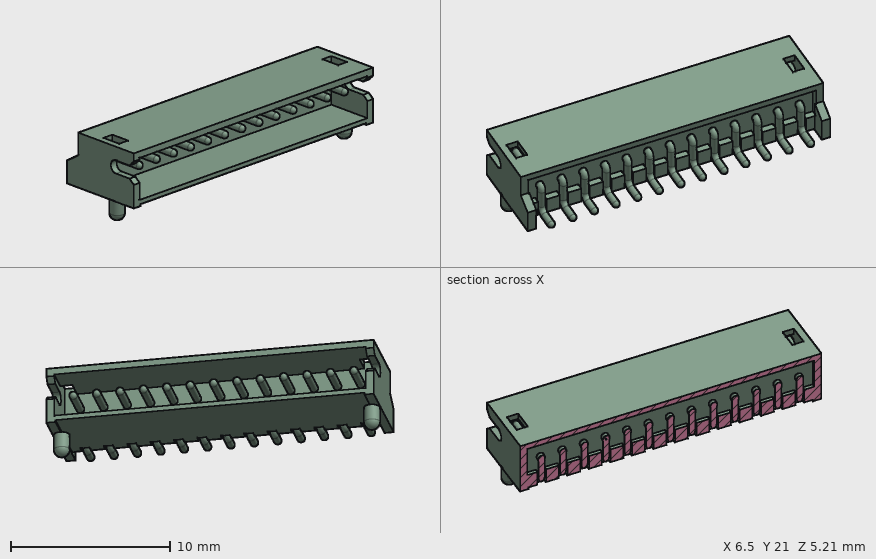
import cadquery as cq


length = 21.0
depth_end = 6.5
height = 3.72
body_front = 1.51
roof = 0.45
end_wall = 0.5

foot_front = 0.5
foot_width = 0.59
foot_nose_height = 1.55
foot_slope_top = 2.2
floor_lift = 0.13

cavity_back = 3.28
floor_top = 0.45
slot_bottom = 1.91
slot_top = 2.8
slot_back = 4.45
mouth_chamfer_run = 0.38
mouth_chamfer_top = 0.38
mouth_chamfer_bottom = 0.32

window_length = 1.4
window_width = 0.78

recess_depth = 0.46
ledge_top = 1.2
groove_width = 0.59

pin_count = 13
pin_pitch = length / (pin_count + 1)
pin_radius = 0.5 / 2
pin_end = 5.7
contact_height = 2.2
tail_height = pin_radius
leg_x = 1.65
tail_bend = 2 * pin_radius
contact_bend = pin_radius

peg_radius = 1.0 / 2
peg_x = 4.45
peg_inset = 0.55
peg_straight = 0.99

pin_positions = [(i - (pin_count - 1) / 2) * pin_pitch for i in range(pin_count)]


def box(x0, x1, y0, y1, z0, z1):
    """Box between two opposite corners."""
    return cq.Workplane("XY").box(x1 - x0, y1 - y0, z1 - z0, centered=False).translate((x0, y0, z0))


def end_profile():
    """Side outline of the housing ends, with a round-ended slot open to the mouth."""
    slot_radius = (slot_top - slot_bottom) / 2
    slot_center = slot_back + slot_radius
    slot_middle = (slot_top + slot_bottom) / 2
    chamfer_start = depth_end - mouth_chamfer_run
    return (
        cq.Workplane("XZ")
        .moveTo(foot_front, 0)
        .lineTo(depth_end, 0)
        .lineTo(depth_end, slot_bottom - mouth_chamfer_bottom)
        .lineTo(chamfer_start, slot_bottom)
        .lineTo(slot_center, slot_bottom)
        .threePointArc((slot_back, slot_middle), (slot_center, slot_top))
        .lineTo(chamfer_start, slot_top)
        .lineTo(depth_end, slot_top + mouth_chamfer_top)
        .lineTo(depth_end, height)
        .lineTo(body_front, height)
        .lineTo(body_front, foot_slope_top)
        .lineTo(foot_front, foot_nose_height)
        .close()
    )


def housing():
    half = length / 2
    inner = half - end_wall
    foot_inner = half - foot_width
    recess_back = body_front + recess_depth

    body = end_profile().extrude(half, both=True)

    body = body.cut(box(foot_front, body_front, -foot_inner, foot_inner, 0, height))
    body = body.cut(box(body_front, depth_end, -foot_inner, foot_inner, 0, floor_lift))

    body = body.cut(box(cavity_back, depth_end, -inner, inner, floor_top, height - roof))
    body = body.cut(box(body_front, recess_back, -inner, inner, ledge_top, height - roof))

    for y in pin_positions:
        left = y - groove_width / 2
        body = body.cut(box(body_front, recess_back, left, left + groove_width, floor_lift, ledge_top))

    for y in (-inner, inner - window_width):
        window_end = cavity_back + window_length
        body = body.cut(box(cavity_back, window_end, y, y + window_width, height - roof, height))
    return body


def round_tip(x, z):
    """Rounded pin end centred at (x, 0, z)."""
    return cq.Workplane("YZ", origin=(x, 0, z)).sphere(pin_radius)


def pin_rod(x0, x1, z):
    """Straight round length of pin along X."""
    return cq.Workplane("YZ", origin=(x0, 0, z)).circle(pin_radius).extrude(x1 - x0)


def leg_section(z):
    """Round section of the vertical leg at height z."""
    return cq.Workplane("XY", origin=(leg_x, 0, z)).circle(pin_radius)


def pin():
    """Pin at Y = 0: horizontal tail, vertical leg and horizontal contact."""
    tail_start = pin_radius
    tail_bend_x = leg_x - tail_bend
    leg_bottom = tail_height + tail_bend
    leg_top = contact_height - contact_bend
    contact_start = leg_x + contact_bend
    contact_tip = pin_end - pin_radius

    leg = leg_section(leg_bottom).extrude(leg_top - leg_bottom)
    lower_bend = leg_section(leg_bottom).revolve(90, (-tail_bend, 0), (-tail_bend, 1))
    upper_bend = leg_section(leg_top).revolve(90, (contact_bend, 0), (contact_bend, 1))

    return (
        leg.union(lower_bend)
        .union(upper_bend)
        .union(pin_rod(tail_start, tail_bend_x, tail_height))
        .union(round_tip(tail_start, tail_height))
        .union(pin_rod(contact_start, contact_tip, contact_height))
        .union(round_tip(contact_tip, contact_height))
    )


def peg(y):
    """Locating peg hanging below the seating plane, with a domed end."""
    shaft = cq.Workplane("XY").circle(peg_radius).extrude(-peg_straight)
    dome = cq.Workplane("XY").sphere(peg_radius).translate((0, 0, -peg_straight))
    return shaft.union(dome).translate((peg_x, y, 0))


result = housing()
single_pin = pin()
for pin_y in pin_positions:
    result = result.union(single_pin.translate((0, pin_y, 0)))
for side in (-1, 1):
    result = result.union(peg(side * (length / 2 - peg_inset)))